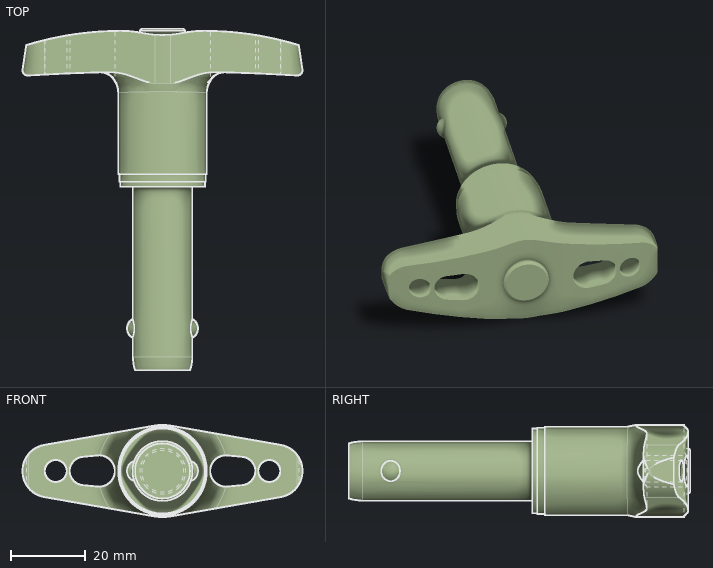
import cadquery as cq
import math


PIN_RADIUS = 8.0
PIN_LENGTH = 49.0
PIN_TIP_RADIUS = 7.35
PIN_TIP_LENGTH = 3.6
BALL_RADIUS = 2.85
BALL_REACH = 9.5
BALL_Y = -37.8

END_COLLAR_RADIUS = 11.35
END_COLLAR_TOP = 1.3
COLLAR_RADIUS = 11.55
COLLAR_TOP = 3.4
SLEEVE_RADIUS = 11.85
FLARE_RADIUS = 5.3

BUTTON_TOP = 42.2
BUTTON_RADIUS = 6.1
BUTTON_CHAMFER = 0.5

HANDLE_HALF_LENGTH = 37.4
HANDLE_MIDDLE_RADIUS = 12.33
HANDLE_END_RADIUS = 7.1
HANDLE_END_X = HANDLE_HALF_LENGTH - HANDLE_END_RADIUS

CREST_X = 11.0
CREST_Y = 41.65
VALLEY_Y = 40.5
BACK_CROWN_RADIUS = 86.0
END_TOP_X = 36.4
END_BOTTOM_X = 37.65
UNDERSIDE_MIDDLE_Y = 30.75
UNDERSIDE_END_Y = 29.55
END_EDGE_FILLET = 1.45
BLANK_HALF_WIDTH = 25.0

PICK_MARGIN = 1.0

SLOT_INNER_X = 16.9
SLOT_INNER_RADIUS = 4.15
SLOT_OUTER_X = 21.0
SLOT_OUTER_RADIUS = 3.75
HOLE_X = 28.5
HOLE_RADIUS = 2.9


def y_prism(sketch, bottom, top):
    """Extrude a sketch lying in the XZ plane from Y = bottom to Y = top."""
    return cq.Workplane("XZ", origin=(0, top, 0)).placeSketch(sketch).extrude(top - bottom)


def y_cylinder(radius, bottom, top):
    """Cylinder around the pin axis from Y = bottom to Y = top."""
    return cq.Workplane("XZ", origin=(0, top, 0)).circle(radius).extrude(top - bottom)


def tapered_outline(x_big, radius_big, x_small, radius_small):
    """Outline of two circles on the X axis joined by their common tangents."""
    lean = math.asin((radius_big - radius_small) / abs(x_small - x_big))
    side = math.copysign(1, x_small - x_big)
    along = side * math.sin(lean)
    across = math.cos(lean)
    big = (x_big + radius_big * along, radius_big * across)
    small = (x_small + radius_small * along, radius_small * across)
    return (
        cq.Sketch()
        .segment(big, small)
        .arc(small, (x_small + side * radius_small, 0), (small[0], -small[1]))
        .segment((big[0], -big[1]))
        .arc((big[0], -big[1]), (x_big - side * radius_big, 0), big)
        .assemble()
    )


def crown_height(x):
    """Height of the crowned back at distance x from the pin axis, outside the crest."""
    drop = BACK_CROWN_RADIUS - math.sqrt(BACK_CROWN_RADIUS**2 - (x - CREST_X) ** 2)
    return CREST_Y - drop


def handle_blank():
    """Handle profile, wider in Z than needed, with its two lower end edges rounded."""
    end_top = (END_TOP_X, crown_height(END_TOP_X))
    crown_x = (CREST_X + END_TOP_X) / 2
    crown_middle = (crown_x, crown_height(crown_x))
    swing_x = CREST_X / 2
    swing_y = (CREST_Y + VALLEY_Y) / 2
    profile = (
        cq.Workplane("XY", origin=(0, 0, -BLANK_HALF_WIDTH))
        .moveTo(-END_BOTTOM_X, UNDERSIDE_END_Y)
        .threePointArc((0, UNDERSIDE_MIDDLE_Y), (END_BOTTOM_X, UNDERSIDE_END_Y))
        .lineTo(*end_top)
        .threePointArc(crown_middle, (CREST_X, CREST_Y))
        .tangentArcPoint((swing_x, swing_y), relative=False)
        .tangentArcPoint((0, VALLEY_Y), relative=False)
        .tangentArcPoint((-swing_x, swing_y), relative=False)
        .tangentArcPoint((-CREST_X, CREST_Y), relative=False)
        .threePointArc((-crown_middle[0], crown_middle[1]), (-end_top[0], end_top[1]))
        .close()
    )
    blank = profile.extrude(2 * BLANK_HALF_WIDTH)
    lower_ends = cq.selectors.BoxSelector(
        (-END_BOTTOM_X - PICK_MARGIN, UNDERSIDE_END_Y - PICK_MARGIN, -PICK_MARGIN),
        (END_BOTTOM_X + PICK_MARGIN, UNDERSIDE_END_Y + PICK_MARGIN, PICK_MARGIN),
    )
    return blank.edges("|Z").edges(lower_ends).fillet(END_EDGE_FILLET)


def handle_and_sleeve():
    """Handle blended into the sleeve barrel, then trimmed to the handle outline."""
    barrel_top = (UNDERSIDE_MIDDLE_Y + VALLEY_Y) / 2
    blank = handle_blank().union(y_cylinder(SLEEVE_RADIUS, COLLAR_TOP, barrel_top))
    joint = cq.selectors.BoxSelector(
        (-SLEEVE_RADIUS, UNDERSIDE_END_Y, -SLEEVE_RADIUS),
        (SLEEVE_RADIUS, UNDERSIDE_MIDDLE_Y + PICK_MARGIN, SLEEVE_RADIUS),
    )
    blended = blank.edges(joint).fillet(FLARE_RADIUS)
    envelope = y_cylinder(HANDLE_MIDDLE_RADIUS, 0, BUTTON_TOP)
    for side in (-1, 1):
        arm = tapered_outline(0, HANDLE_MIDDLE_RADIUS, side * HANDLE_END_X, HANDLE_END_RADIUS)
        envelope = envelope.union(y_prism(arm, 0, BUTTON_TOP))
    return blended.intersect(envelope.clean())


def arm_openings(side):
    """Tapered slot and round hole through the arm on one side."""
    slot = tapered_outline(
        side * SLOT_INNER_X, SLOT_INNER_RADIUS, side * SLOT_OUTER_X, SLOT_OUTER_RADIUS
    )
    hole = y_cylinder(HOLE_RADIUS, 0, BUTTON_TOP).translate((side * HOLE_X, 0, 0))
    return y_prism(slot, 0, BUTTON_TOP).union(hole)


def collars():
    end_collar = y_cylinder(END_COLLAR_RADIUS, 0, END_COLLAR_TOP)
    return end_collar.union(y_cylinder(COLLAR_RADIUS, END_COLLAR_TOP, COLLAR_TOP))


def button():
    """Chamfered disc seated in the dip of the handle back."""
    disc = y_cylinder(BUTTON_RADIUS, UNDERSIDE_MIDDLE_Y, BUTTON_TOP)
    return disc.faces(">Y").chamfer(BUTTON_CHAMFER)


def pin():
    """Shank whose tip narrows along an arc tangent to its side."""
    tip_start = PIN_TIP_LENGTH - PIN_LENGTH
    return (
        cq.Workplane("XY")
        .moveTo(0, COLLAR_TOP)
        .lineTo(PIN_RADIUS, COLLAR_TOP)
        .lineTo(PIN_RADIUS, tip_start)
        .tangentArcPoint((PIN_TIP_RADIUS, -PIN_LENGTH), relative=False)
        .lineTo(0, -PIN_LENGTH)
        .close()
        .revolve(360, (0, 0), (0, 1))
    )


def locking_ball(side):
    centre = (side * (BALL_REACH - BALL_RADIUS), BALL_Y, 0)
    return cq.Workplane("XY").sphere(BALL_RADIUS).translate(centre)


result = handle_and_sleeve()
for side in (-1, 1):
    result = result.cut(arm_openings(side))
result = result.union(collars()).union(button()).union(pin())
for side in (-1, 1):
    result = result.union(locking_ball(side))